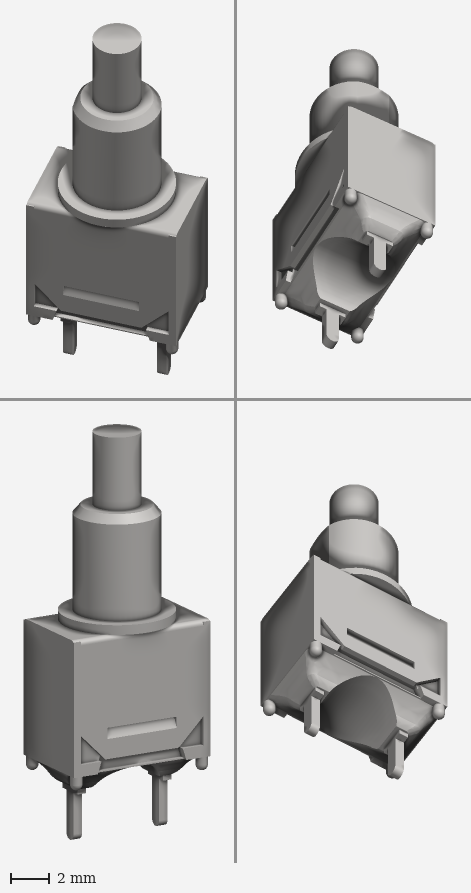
import cadquery as cq


HOUSING_LENGTH = 8.14
HOUSING_DEPTH = 5.1
RECESS_WIDTH = 7.3
RECESS_BOTTOM = 0.65

BRACKET_TOP = 7.32
SKIRT_THICKNESS = 0.28
CAP_THICKNESS = 0.09
SKIRT_BOTTOM = 0.73
SKIRT_CHAMFER = 1.45
WINDOW_WIDTH = 4.12
WINDOW_BOTTOM = 1.6
WINDOW_TOP = 2.4
CATCH_LIP = 0.2

NOTCH_BOTTOM_WIDTH = 5.28
NOTCH_TOP_WIDTH = 4.72
NOTCH_TOP = 0.85
NOTCH_DEPTH = 2 * SKIRT_THICKNESS
NOTCH_LEDGE = 0.06

FOOT_DIAMETER = 0.65
FOOT_STRAIGHT = 0.45

BASE_WAIST = (-0.82, 3.4, 1.22, 0.39)
BASE_FLARE = [
    (0.0, 4.01, 2.2, 0.52),
    (-0.4, 3.65, 1.6, 0.45),
    BASE_WAIST,
]
BASE_FOOT = [
    BASE_WAIST,
    (-1.03, 3.15, 1.07, 0.32),
    (-1.2, 2.85, 0.85, 0.21),
]
ARCH_RADIUS = 2.32

FLANGE_DIAMETER = 6.1
FLANGE_THICKNESS = 0.52
BUSHING_DIAMETER = 4.6
BUSHING_HEIGHT = 5.63
BUSHING_CHAMFER_WIDTH = 0.4
BUSHING_CHAMFER_HEIGHT = 0.45
FLAT_OFFSET = 2.1
BUTTON_DIAMETER = 2.53
BUTTON_PROJECTION = 3.9

PIN_PITCH = 5.1
PIN_THICKNESS = 0.52
PIN_WIDTH = 0.7
PIN_SHOULDER_WIDTH = 1.5
PIN_SHOULDER_BOTTOM = -1.5
OVERALL_HEIGHT = 21.47

FLANGE_TOP = BRACKET_TOP + FLANGE_THICKNESS
BUSHING_TOP = FLANGE_TOP + BUSHING_HEIGHT
BUTTON_TOP = BUSHING_TOP + BUTTON_PROJECTION
PIN_TIP = BUTTON_TOP - OVERALL_HEIGHT
HOUSING_TOP = BRACKET_TOP - CAP_THICKNESS
CORE_DEPTH = HOUSING_DEPTH - 2 * SKIRT_THICKNESS
WALL_THICKNESS = (HOUSING_LENGTH - RECESS_WIDTH) / 2


def block(length, depth, bottom, top):
    """Box centred on the Z axis between two levels."""
    return cq.Workplane("XY", origin=(0, 0, bottom)).box(length, depth, top - bottom, (True, True, False))


def cylinder(diameter, bottom, top):
    """Upright cylinder on the Z axis between two levels."""
    return cq.Workplane("XY", origin=(0, 0, bottom)).circle(diameter / 2).extrude(top - bottom)


def front_and_back(front_feature):
    """A feature on the front face together with its mirror image on the back face."""
    return front_feature.union(front_feature.mirror("XZ"))


def notch_cutter(depth, bottom):
    """Trapezoidal cutter that reaches a depth into the front face, above a given level."""
    trapezoid = (
        cq.Workplane("XZ", origin=(0, depth - HOUSING_DEPTH / 2, 0))
        .polyline([
            (-NOTCH_BOTTOM_WIDTH / 2, 0),
            (NOTCH_BOTTOM_WIDTH / 2, 0),
            (NOTCH_TOP_WIDTH / 2, NOTCH_TOP),
            (-NOTCH_TOP_WIDTH / 2, NOTCH_TOP),
        ])
        .close()
        .extrude(depth)
    )
    return trapezoid.intersect(block(HOUSING_LENGTH, HOUSING_DEPTH, bottom, NOTCH_TOP))


def make_catch():
    """Ramped catch on the front of the housing that snaps into the skirt window."""
    outer = -HOUSING_DEPTH / 2
    inner = -CORE_DEPTH / 2
    return (
        cq.Workplane("YZ", origin=(-WINDOW_WIDTH / 2, 0, 0))
        .polyline([
            (inner, WINDOW_BOTTOM),
            (outer, WINDOW_BOTTOM),
            (outer, WINDOW_BOTTOM + CATCH_LIP),
            (inner, WINDOW_TOP),
        ])
        .close()
        .extrude(WINDOW_WIDTH)
    )


def rounded_loft(sections):
    """Smooth loft through rounded rectangles, each given as level, half length, half depth, radius."""
    start_level = sections[0][0]
    outlines = []
    for level, half_length, half_depth, radius in sections:
        outline = cq.Sketch().rect(2 * half_length, 2 * half_depth).vertices().fillet(radius)
        outlines.append(outline.moved(cq.Location(cq.Vector(0, 0, level - start_level))))
    return cq.Workplane("XY", origin=(0, 0, start_level)).placeSketch(*outlines).loft()


def make_terminal_base():
    """Flared block under the housing, parted in the middle by an arched groove."""
    base = rounded_loft(BASE_FLARE).union(rounded_loft(BASE_FOOT))
    groove = (
        cq.Workplane("XZ", origin=(0, 0, -ARCH_RADIUS))
        .circle(ARCH_RADIUS)
        .extrude(HOUSING_DEPTH / 2, both=True)
    )
    return base.cut(groove)


def make_feet():
    """Four round-ended standoff feet at the corners of the underside."""
    radius = FOOT_DIAMETER / 2
    foot = cylinder(FOOT_DIAMETER, -FOOT_STRAIGHT, 0)
    foot = foot.union(cq.Workplane("XY", origin=(0, 0, -FOOT_STRAIGHT)).sphere(radius))
    feet = cq.Workplane("XY")
    for side in (-1, 1):
        for face in (-1, 1):
            x = side * (HOUSING_LENGTH / 2 - radius)
            y = face * (HOUSING_DEPTH / 2 - radius)
            feet = feet.union(foot.translate((x, y, 0)))
    return feet


def make_housing(pins):
    """Housing block with side walls, catches, feet and terminal base, slotted for the pins."""
    housing = block(HOUSING_LENGTH, CORE_DEPTH, 0, HOUSING_TOP)
    housing = housing.union(block(HOUSING_LENGTH, HOUSING_DEPTH, 0, RECESS_BOTTOM))
    wall = block(WALL_THICKNESS, HOUSING_DEPTH, 0, HOUSING_TOP)
    for side in (-1, 1):
        housing = housing.union(wall.translate((side * (RECESS_WIDTH + WALL_THICKNESS) / 2, 0, 0)))
    housing = housing.cut(front_and_back(notch_cutter(SKIRT_THICKNESS, 0)))
    housing = housing.cut(front_and_back(notch_cutter(NOTCH_DEPTH, NOTCH_LEDGE)))
    housing = housing.union(front_and_back(make_catch()))
    housing = housing.union(make_terminal_base()).union(make_feet())
    for pin in pins:
        housing = housing.cut(pin)
    return housing


def make_bushing():
    """Chamfered bushing on its flange, with one flat on the left side."""
    top_radius = BUSHING_DIAMETER / 2 - BUSHING_CHAMFER_WIDTH
    bushing = (
        cq.Workplane("XZ")
        .moveTo(0, FLANGE_TOP)
        .lineTo(BUSHING_DIAMETER / 2, FLANGE_TOP)
        .lineTo(BUSHING_DIAMETER / 2, BUSHING_TOP - BUSHING_CHAMFER_HEIGHT)
        .lineTo(top_radius, BUSHING_TOP)
        .lineTo(0, BUSHING_TOP)
        .close()
        .revolve(360, (0, 0), (0, 1))
    )
    kept_length = FLAT_OFFSET + BUSHING_DIAMETER / 2
    kept = block(kept_length, BUSHING_DIAMETER, FLANGE_TOP, BUSHING_TOP)
    bushing = bushing.intersect(kept.translate((kept_length / 2 - FLAT_OFFSET, 0, 0)))
    return bushing.union(cylinder(FLANGE_DIAMETER, BRACKET_TOP, FLANGE_TOP))


def make_bracket():
    """Bracket cap with front and back skirts, carrying the bushing."""
    rounded = block(HOUSING_LENGTH, HOUSING_DEPTH, SKIRT_BOTTOM, BRACKET_TOP)
    rounded = rounded.edges("|X and >Z").fillet(SKIRT_THICKNESS)
    skirts = block(RECESS_WIDTH, HOUSING_DEPTH, SKIRT_BOTTOM, HOUSING_TOP)
    skirts = skirts.edges("|Y and <Z").chamfer(SKIRT_CHAMFER)
    cap = block(HOUSING_LENGTH, HOUSING_DEPTH, HOUSING_TOP, BRACKET_TOP)
    bracket = rounded.intersect(skirts.union(cap))
    bracket = bracket.cut(block(HOUSING_LENGTH, CORE_DEPTH, 0, HOUSING_TOP))
    bracket = bracket.cut(block(WINDOW_WIDTH, HOUSING_DEPTH, WINDOW_BOTTOM, WINDOW_TOP))
    bracket = bracket.union(make_bushing())
    return bracket.cut(make_button())


def make_button():
    """Round push button, running through the bushing to the top of the housing."""
    return cylinder(BUTTON_DIAMETER, HOUSING_TOP, BUTTON_TOP)


def make_pin(x):
    """Flat terminal with a shoulder set into the base and a round tip."""
    half_width = PIN_WIDTH / 2
    half_shoulder = PIN_SHOULDER_WIDTH / 2
    tip_start = PIN_TIP + half_width
    return (
        cq.Workplane("YZ", origin=(x - PIN_THICKNESS / 2, 0, 0))
        .moveTo(-half_shoulder, 0)
        .lineTo(-half_shoulder, PIN_SHOULDER_BOTTOM)
        .lineTo(-half_width, PIN_SHOULDER_BOTTOM)
        .lineTo(-half_width, tip_start)
        .threePointArc((0, PIN_TIP), (half_width, tip_start))
        .lineTo(half_width, PIN_SHOULDER_BOTTOM)
        .lineTo(half_shoulder, PIN_SHOULDER_BOTTOM)
        .lineTo(half_shoulder, 0)
        .close()
        .extrude(PIN_THICKNESS)
    )


pins = [make_pin(side * PIN_PITCH / 2) for side in (-1, 1)]
housing = make_housing(pins)
bracket = make_bracket()
button = make_button()

result = cq.Compound.makeCompound([
    housing.val(),
    bracket.val(),
    button.val(),
    *[pin.val() for pin in pins],
])